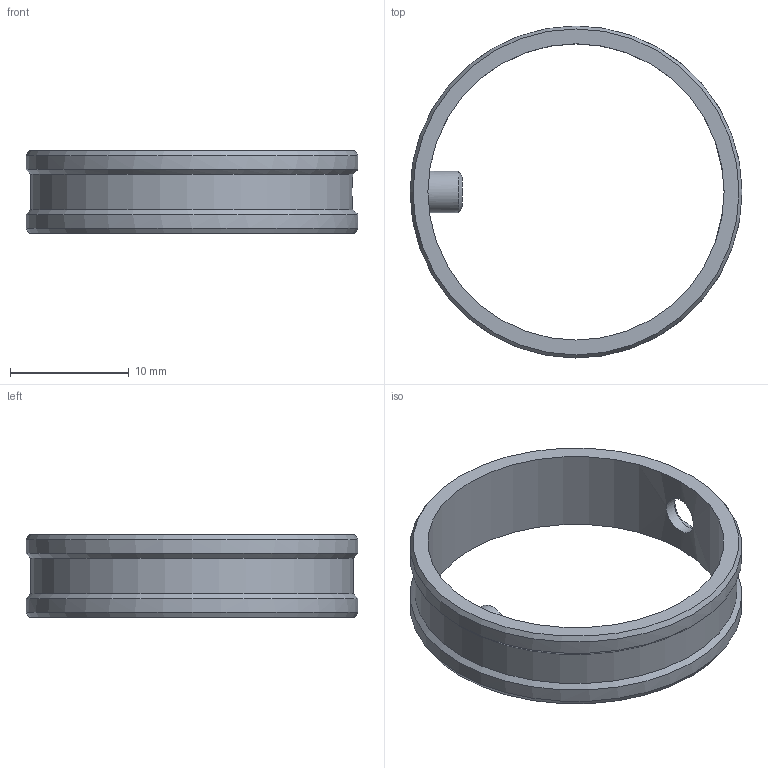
import cadquery as cq
import math

outer_radius = 14.0
inner_radius = 12.5
ring_height = 7.0
mid_height = ring_height / 2

bevel_width = 0.25
bevel_height = bevel_width * math.tan(math.radians(60))

groove_depth = 0.4
groove_floor_height = 3.0
groove_flank_height = groove_depth

hole_diameter = 3.2
hole_radius = hole_diameter / 2

flare_start_x = 13.35
flare_length = outer_radius - flare_start_x
flare_end_radius = hole_radius + flare_length * math.tan(math.radians(30))

pin_diameter = 3.5
pin_radius = pin_diameter / 2
pin_tip_x = -9.6
pin_tip_bevel_length = 0.3
pin_tip_bevel_width = 0.5


def make_flared_hole():
    """Solid of revolution about the X axis that cuts the hole and its flare."""
    half_section = [
        (0, 0),
        (0, hole_radius),
        (flare_start_x, hole_radius),
        (outer_radius, flare_end_radius),
        (outer_radius, 0),
    ]
    return (
        cq.Workplane("XY", origin=(0, 0, mid_height))
        .polyline(half_section)
        .close()
        .revolve(360, (0, 0), (1, 0))
    )


def make_ring():
    """Revolved band with beveled rims, an outer groove and one flared radial hole."""
    groove_radius = outer_radius - groove_depth
    floor_bottom = mid_height - groove_floor_height / 2
    floor_top = mid_height + groove_floor_height / 2
    profile = [
        (inner_radius, 0),
        (outer_radius - bevel_width, 0),
        (outer_radius, bevel_height),
        (outer_radius, floor_bottom - groove_flank_height),
        (groove_radius, floor_bottom),
        (groove_radius, floor_top),
        (outer_radius, floor_top + groove_flank_height),
        (outer_radius, ring_height - bevel_height),
        (outer_radius - bevel_width, ring_height),
        (inner_radius, ring_height),
    ]
    band = cq.Workplane("XZ").polyline(profile).close().revolve(360, (0, 0), (0, 1))
    return band.cut(make_flared_hole())


def make_pin():
    """Radial pin with a beveled tip, its base shaped to the ring's inner wall."""
    pin_length = inner_radius + pin_tip_x
    blank = (
        cq.Workplane("YZ", origin=(-inner_radius, 0, mid_height))
        .circle(pin_radius)
        .extrude(pin_length)
        .faces(">X")
        .chamfer(pin_tip_bevel_length, pin_tip_bevel_width)
    )
    bore = cq.Workplane("XY").circle(inner_radius).extrude(ring_height)
    return blank.intersect(bore)


ring = make_ring()
pin = make_pin()
result = cq.Compound.makeCompound([ring.val(), pin.val()])